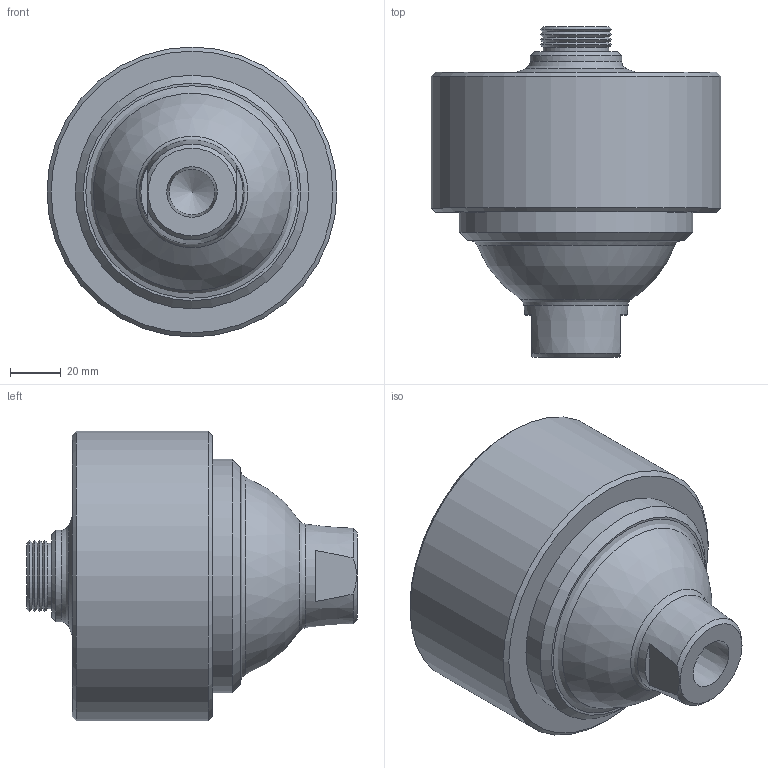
import cadquery as cq
import math

overall_length = 130.175

body_radius = 57.15
body_front = 57.15
body_length = 55.1
body_chamfer = 1.5875
body_rear = body_front + body_length

collar_radius = 46.0375
collar_chamfer = 3.175
collar_front = 46.0375

dome_radius = 41.275
dome_center = 57.8
blend_radius = 3.175

nose_chamfer = 1.5875
nose_radius = 18.85
nose_taper = math.tan(math.radians(5))
width_across_flats = 34.925
flat_half_width = width_across_flats / 2
flat_length = 16.6
bore_mouth_radius = 9.95
bore_end_radius = 9.0
bore_depth = 25.4
drill_half_angle = 59

hub_radius = 18.0
hub_rear = overall_length - 9.85
hub_chamfer = 1.6
flare_radius = 23.6
flare_taper = math.tan(math.radians(69))
flare_start = body_rear + (flare_radius - hub_radius) / flare_taper

thread_crest_radius = 14.1
thread_root_radius = 13.0
thread_pitch = 2.03
thread_ring_count = 4
thread_start = overall_length - thread_ring_count * thread_pitch


def nose_radius_at(y):
    return nose_radius + (y - nose_chamfer) * nose_taper


def dome_radius_at(y):
    return math.sqrt(dome_radius**2 - (y - dome_center) ** 2)


def nose_dome_corner():
    """Y where the tapered nose runs into the dome (line and circle intersection)."""
    radius_at_center = nose_radius_at(dome_center)
    a = 1 + nose_taper**2
    b = 2 * radius_at_center * nose_taper
    c = radius_at_center**2 - dome_radius**2
    return dome_center + (-b - math.sqrt(b**2 - 4 * a * c)) / (2 * a)


dome_front = nose_dome_corner()


def turned_body():
    """Half profile as (radius, Y), revolved about the Y axis."""
    dome_middle = (dome_front + collar_front) / 2
    profile = (
        cq.Workplane("XY")
        .moveTo(0, 0)
        .lineTo(nose_radius - nose_chamfer, 0)
        .lineTo(nose_radius, nose_chamfer)
        .lineTo(nose_radius_at(dome_front), dome_front)
        .threePointArc(
            (dome_radius_at(dome_middle), dome_middle),
            (dome_radius_at(collar_front), collar_front),
        )
        .lineTo(collar_radius - collar_chamfer, collar_front)
        .lineTo(collar_radius, collar_front + collar_chamfer)
        .lineTo(collar_radius, body_front)
        .lineTo(body_radius - body_chamfer, body_front)
        .lineTo(body_radius, body_front + body_chamfer)
        .lineTo(body_radius, body_rear - body_chamfer)
        .lineTo(body_radius - body_chamfer, body_rear)
        .lineTo(flare_radius, body_rear)
        .lineTo(hub_radius, flare_start)
        .lineTo(hub_radius, hub_rear - hub_chamfer)
        .lineTo(hub_radius - hub_chamfer, hub_rear)
        .lineTo(thread_root_radius, hub_rear)
        .lineTo(thread_root_radius, thread_start)
    )
    for ring in range(thread_ring_count):
        ring_start = thread_start + ring * thread_pitch
        profile = profile.lineTo(thread_crest_radius, ring_start + thread_pitch / 2)
        profile = profile.lineTo(thread_root_radius, ring_start + thread_pitch)
    return profile.lineTo(0, overall_length).close().revolve(360, (0, 0, 0), (0, 1, 0))


def blend_corner(part, y, corner_radius):
    """Fillet the circular corner lying in the plane at the given Y."""
    tolerance = 0.01

    def is_corner(edge):
        return (
            edge.geomType() == "CIRCLE"
            and abs(edge.BoundingBox().ymin - y) < tolerance
            and abs(edge.BoundingBox().ymax - y) < tolerance
            and abs(edge.radius() - corner_radius) < tolerance
        )

    return part.edges().filter(is_corner).fillet(blend_radius)


def nose_bore():
    """Tapered blind hole with a conical drill point."""
    point_length = bore_end_radius / math.tan(math.radians(drill_half_angle))
    return (
        cq.Workplane("XY")
        .moveTo(0, 0)
        .lineTo(bore_mouth_radius, 0)
        .lineTo(bore_end_radius, bore_depth)
        .lineTo(0, bore_depth + point_length)
        .close()
        .revolve(360, (0, 0, 0), (0, 1, 0))
    )


def wrench_flat(side):
    """Block that trims one side of the nose; side is +1 or -1 along X."""
    block_width = body_radius - flat_half_width
    block_center = side * (flat_half_width + block_width / 2)
    return cq.Workplane("XY").box(block_width, flat_length, 2 * body_radius).translate(
        (block_center, flat_length / 2, 0)
    )


result = turned_body()
result = blend_corner(result, dome_front, nose_radius_at(dome_front))
result = blend_corner(result, collar_front, dome_radius_at(collar_front))
result = blend_corner(result, flare_start, hub_radius)
result = result.cut(nose_bore())
for flat_side in (-1, 1):
    result = result.cut(wrench_flat(flat_side))